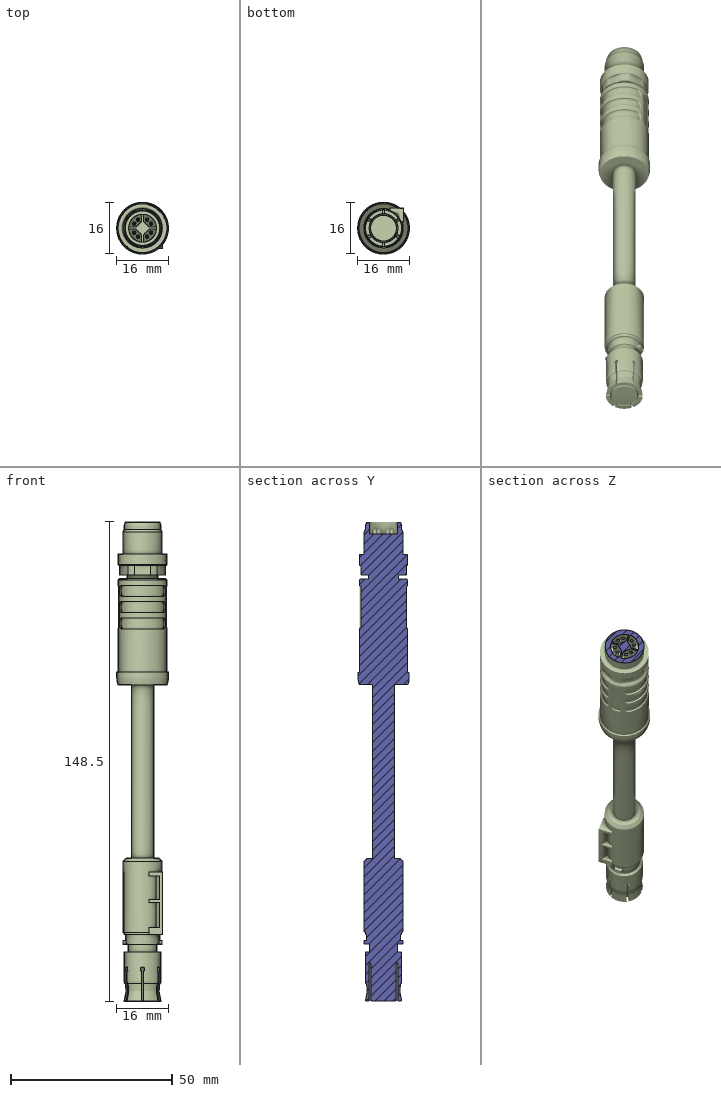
import cadquery as cq
import math

TOTAL_LENGTH = 148.5
CABLE_DIAMETER = 7.0
CABLE_RADIUS = CABLE_DIAMETER / 2

NOSE_TIP_RADIUS = 5.3
NOSE_DIAMETER = 11.5
NOSE_RADIUS = NOSE_DIAMETER / 2
PLUG_RADIUS = 6.1
TIP_CHAMFER_Z = 147.3
NOSE_BOTTOM_Z = 146.1
PLUG_TOP_Z = 145.3
FLANGE_RADIUS = 7.5
FLANGE_TOP_Z = 138.5
FLANGE_BOTTOM_Z = 135.0
FLANGE_CHAMFER = 0.3
NUT_APOTHEM = 6.7
NUT_CORNER_RADIUS = 7.1
NUT_BOTTOM_Z = 132.0
NECK_RADIUS = 4.8

GRIP_RADIUS = FLANGE_RADIUS
GRIP_TOP_Z = 131.0
GRIP_TOP_CHAMFER = 0.5
COLLAR_RADIUS = 8.0
COLLAR_TOP_Z = 102.0
COLLAR_ROUND_Z = 100.2
COLLAR_BOTTOM_Z = 98.0

SLEEVE_RADIUS = PLUG_RADIUS
SLEEVE_TOP_Z = 44.4
SLEEVE_TOP_CHAMFER = 1.0
SLEEVE_BOTTOM_Z = 21.4
SLEEVE_RIM_Z = 20.6
SLEEVE_RIM_RADIUS = NOSE_RADIUS
GUIDE_RADIUS = 5.2
GUIDE_BOTTOM_Z = 17.7
WAIST_DIAMETER = 9.6
WAIST_RADIUS = WAIST_DIAMETER / 2
WAIST_HALF_FLATS = 4.5
SOCKET_DIAMETER = 11.5
SOCKET_RADIUS = SOCKET_DIAMETER / 2
SOCKET_TOP_Z = 15.3
SOCKET_CHAMFER_Z = 6.2
SOCKET_STEP_Z = 5.5
SOCKET_CHAMFER = 0.1
FINGER_TOP_RADIUS = 5.3
FINGER_THROAT_DIAMETER = 10.2
FINGER_THROAT_RADIUS = FINGER_THROAT_DIAMETER / 2
FINGER_THROAT_Z = 3.1

BORE_RADIUS = 4.3
BORE_FLOOR_Z = 139.5
CROSS_TOP_Z = 144.7
CROSS_WALL = 0.6
CORE_DIAGONAL = 4.8
PIN_TOP_Z = 146.1
PIN_DIAMETER = 1.0
PIN_TIP_CHAMFER = 0.3
PIN_CIRCLE_RADIUS = 3.0
PIN_HALF_SPREAD = 17.0

GROOVE_TOP_Z = 128.9
GROOVE_HEIGHT = 3.4
GROOVE_PITCH = 5.0
GROOVE_COUNT = 3
GROOVE_DEPTH = 0.5
GROOVE_END_Y = 2.7
GROOVE_END_RADIUS = 1.3
GROOVE_EDGE_CHAMFER = 0.42
WINDOW_WIDTH = 3.4
WINDOW_TOP_Z = 128.5
WINDOW_BOTTOM_Z = 115.5
WINDOW_CORNER_RADIUS = 1.2
WINDOW_DEPTH = 0.5

HOLDER_TOP_Z = 40.1
HOLDER_REACH = 6.2
HOLDER_INNER = 2.0
HOLDER_RAIL_INNER = 5.2
HOLDER_WEB_X = 4.0
HOLDER_WEB_Y = 4.3
HOLDER_RIBS = ((38.9, 40.1), (30.6, 31.5), (SLEEVE_RIM_Z, 22.9))
SEAM_GROOVE_WIDTH = 0.9
SEAM_GROOVE_DEPTH = 0.22
SEAM_GROOVE_Y = -1.5

KEY_WIDTH = 2.2
KEY_REACH = 5.3
LUG_REACH = PLUG_RADIUS
LUG_HEIGHT = 1.2
SOCKET_BORE_RADIUS = 4.5
SOCKET_BORE_DEPTH = 11.9
SOCKET_CORE_RADIUS = 4.0
SLOT_COUNT = 6
FIRST_SLOT_ANGLE = 30.0
SLOT_WIDTH = 0.6
SLOT_HOLE_DIAMETER = 1.3
SLOT_HOLE_Z = 10.0


def block(x_range, y_range, z_range):
    """Axis-aligned box given by its limits."""
    corner = (x_range[0], y_range[0], z_range[0])
    sizes = [limits[1] - limits[0] for limits in (x_range, y_range, z_range)]
    return cq.Workplane("XY").box(*sizes, centered=False).translate(corner)


def cylinder(radius, bottom_z, top_z):
    """Cylinder on the part axis."""
    return cq.Workplane("XY").workplane(offset=bottom_z).circle(radius).extrude(top_z - bottom_z)


def collar_round_middle():
    """Middle of the arc that rounds the collar's lower edge and runs smoothly into its side."""
    width = COLLAR_RADIUS - GRIP_RADIUS
    height = COLLAR_ROUND_Z - COLLAR_BOTTOM_Z
    radius = (width**2 + height**2) / (2 * width)
    half_angle = math.asin(height / radius) / 2
    middle_radius = COLLAR_RADIUS - radius * (1 - math.cos(half_angle))
    return (middle_radius, COLLAR_ROUND_Z - radius * math.sin(half_angle))


def turned_body():
    """All coaxial stretches, as one revolved outline from bottom to top."""
    below_round = [
        (0, 0),
        (SOCKET_RADIUS, 0),
        (FINGER_THROAT_RADIUS, FINGER_THROAT_Z),
        (FINGER_TOP_RADIUS, SOCKET_STEP_Z),
        (SOCKET_RADIUS - SOCKET_CHAMFER, SOCKET_STEP_Z),
        (SOCKET_RADIUS, SOCKET_CHAMFER_Z),
        (SOCKET_RADIUS, SOCKET_TOP_Z),
        (WAIST_RADIUS, SOCKET_TOP_Z),
        (WAIST_RADIUS, GUIDE_BOTTOM_Z),
        (GUIDE_RADIUS, GUIDE_BOTTOM_Z),
        (GUIDE_RADIUS, SLEEVE_RIM_Z),
        (SLEEVE_RIM_RADIUS, SLEEVE_RIM_Z),
        (SLEEVE_RIM_RADIUS, SLEEVE_BOTTOM_Z),
        (SLEEVE_RADIUS, SLEEVE_BOTTOM_Z),
        (SLEEVE_RADIUS, SLEEVE_TOP_Z - SLEEVE_TOP_CHAMFER),
        (SLEEVE_RADIUS - SLEEVE_TOP_CHAMFER, SLEEVE_TOP_Z),
        (CABLE_RADIUS, SLEEVE_TOP_Z),
        (CABLE_RADIUS, COLLAR_BOTTOM_Z),
        (GRIP_RADIUS, COLLAR_BOTTOM_Z),
    ]
    above_round = [
        (COLLAR_RADIUS, COLLAR_ROUND_Z),
        (COLLAR_RADIUS, COLLAR_TOP_Z),
        (GRIP_RADIUS, COLLAR_TOP_Z),
        (GRIP_RADIUS, GRIP_TOP_Z - GRIP_TOP_CHAMFER),
        (GRIP_RADIUS - GRIP_TOP_CHAMFER, GRIP_TOP_Z),
        (NECK_RADIUS, GRIP_TOP_Z),
        (NECK_RADIUS, FLANGE_BOTTOM_Z),
        (FLANGE_RADIUS - FLANGE_CHAMFER, FLANGE_BOTTOM_Z),
        (FLANGE_RADIUS, FLANGE_BOTTOM_Z + FLANGE_CHAMFER),
        (FLANGE_RADIUS, FLANGE_TOP_Z),
        (PLUG_RADIUS, FLANGE_TOP_Z),
        (PLUG_RADIUS, PLUG_TOP_Z),
        (NOSE_RADIUS, NOSE_BOTTOM_Z),
        (NOSE_RADIUS, TIP_CHAMFER_Z),
        (NOSE_TIP_RADIUS, TOTAL_LENGTH),
        (0, TOTAL_LENGTH),
    ]
    outline = (
        cq.Workplane("XZ")
        .polyline(below_round)
        .threePointArc(collar_round_middle(), above_round[0])
        .polyline(above_round[1:], includeCurrent=True)
        .close()
    )
    return outline.revolve(360, (0, 0, 0), (0, 1, 0))


def nut():
    """Hexagonal nut below the flange, its corners turned round."""
    across_corners = 2 * NUT_APOTHEM / math.cos(math.radians(30))
    height = FLANGE_BOTTOM_Z - NUT_BOTTOM_Z
    hexagon = cq.Workplane("XY").workplane(offset=NUT_BOTTOM_Z).polygon(6, across_corners).extrude(height)
    return hexagon.intersect(cylinder(NUT_CORNER_RADIUS, NUT_BOTTOM_Z, FLANGE_BOTTOM_Z))


def plug_insert():
    """Shield cross with a diamond core, and a pair of pins in each quadrant."""
    base = cq.Workplane("XY").workplane(offset=BORE_FLOOR_Z)
    cross_height = CROSS_TOP_Z - BORE_FLOOR_Z
    pin_angles = [
        quadrant + side * PIN_HALF_SPREAD
        for quadrant in (45, 135, 225, 315)
        for side in (-1, 1)
    ]
    pin_centers = [
        (PIN_CIRCLE_RADIUS * math.cos(math.radians(a)), PIN_CIRCLE_RADIUS * math.sin(math.radians(a)))
        for a in pin_angles
    ]
    walls = base.rect(2 * BORE_RADIUS, CROSS_WALL).extrude(cross_height)
    walls = walls.union(base.rect(CROSS_WALL, 2 * BORE_RADIUS).extrude(cross_height))
    core = base.polygon(4, CORE_DIAGONAL).extrude(cross_height)
    pins = base.pushPoints(pin_centers).circle(PIN_DIAMETER / 2).extrude(PIN_TOP_Z - BORE_FLOOR_Z)
    pins = pins.faces(">Z").chamfer(PIN_TIP_CHAMFER)
    return walls.union(core).union(pins)


def grip_grooves():
    """Round-ended grooves with sloping walls, wrapped around the -Y and +Y sides of the grip."""
    x_range = (-COLLAR_RADIUS, COLLAR_RADIUS)
    first_z = (GROOVE_TOP_Z - GROOVE_HEIGHT, GROOVE_TOP_Z)
    bar = block(x_range, (GROOVE_END_Y, COLLAR_RADIUS), first_z)
    bar = bar.faces("<Y").edges("|X").fillet(GROOVE_END_RADIUS)
    core = cylinder(GRIP_RADIUS - GROOVE_DEPTH, *first_z)
    groove = bar.intersect(cylinder(COLLAR_RADIUS, *first_z)).cut(core)
    floor_point = (0, GRIP_RADIUS - GROOVE_DEPTH, GROOVE_TOP_Z - GROOVE_HEIGHT / 2)
    groove = groove.faces(cq.NearestToPointSelector(floor_point)).chamfer(GROOVE_EDGE_CHAMFER)
    pair = groove.union(groove.mirror("XZ"))
    grooves = cq.Workplane("XY")
    for i in range(GROOVE_COUNT):
        grooves = grooves.union(pair.translate((0, 0, -i * GROOVE_PITCH)))
    return grooves


def grip_windows():
    """Flat recesses on the -X and +X sides, rounded at their lower corners."""
    floor_x = GRIP_RADIUS - WINDOW_DEPTH
    half_width = WINDOW_WIDTH / 2
    window = block((floor_x, COLLAR_RADIUS), (-half_width, half_width), (WINDOW_BOTTOM_Z, WINDOW_TOP_Z))
    window = window.faces("<Z").edges("|X").fillet(WINDOW_CORNER_RADIUS)
    return window.union(window.mirror("YZ"))


def label_holder():
    """Corner holder on the +X -Y side: three ribs joined by a rail on a web."""
    web_outline = [
        (0, 0),
        (HOLDER_WEB_X, -HOLDER_WEB_Y),
        (HOLDER_RAIL_INNER, -HOLDER_REACH),
        (HOLDER_REACH, -HOLDER_REACH),
        (HOLDER_REACH, -HOLDER_RAIL_INNER),
        (HOLDER_WEB_Y, -HOLDER_WEB_X),
    ]
    holder = (
        cq.Workplane("XY")
        .workplane(offset=SLEEVE_RIM_Z)
        .polyline(web_outline)
        .close()
        .extrude(HOLDER_TOP_Z - SLEEVE_RIM_Z)
    )
    for rib_z in HOLDER_RIBS:
        holder = holder.union(block((HOLDER_INNER, HOLDER_REACH), (-HOLDER_REACH, -HOLDER_INNER), rib_z))
    return holder


def seam_groove():
    """Shallow lengthwise groove on the -X side of the lower sleeve."""
    bottom_x = -math.sqrt(SLEEVE_RADIUS**2 - SEAM_GROOVE_Y**2) + SEAM_GROOVE_DEPTH
    half_width = SEAM_GROOVE_WIDTH / 2
    y_range = (SEAM_GROOVE_Y - half_width, SEAM_GROOVE_Y + half_width)
    return block((-HOLDER_REACH, bottom_x), y_range, (SLEEVE_BOTTOM_Z, HOLDER_TOP_Z))


def guide_keys():
    """Keys along the guide on the -X and +X sides, each ending in a lug."""
    half_width = KEY_WIDTH / 2
    y_range = (-half_width, half_width)
    keys = block((-KEY_REACH, KEY_REACH), y_range, (GUIDE_BOTTOM_Z, SLEEVE_RIM_Z))
    lugs = block((-LUG_REACH, LUG_REACH), y_range, (GUIDE_BOTTOM_Z, GUIDE_BOTTOM_Z + LUG_HEIGHT))
    return keys.union(lugs)


def waist_flats():
    """Material removed to leave flats on the -X and +X sides of the waist."""
    z_range = (SOCKET_TOP_Z, GUIDE_BOTTOM_Z)
    flat = block((WAIST_HALF_FLATS, SOCKET_RADIUS), (-SOCKET_RADIUS, SOCKET_RADIUS), z_range)
    return flat.union(flat.mirror("YZ"))


def socket_slots():
    """Radial slots that split the socket wall into fingers, each ending in a round hole."""
    half_width = SLOT_WIDTH / 2
    slot = block((0, COLLAR_RADIUS), (-half_width, half_width), (0, SLOT_HOLE_Z))
    hole = (
        cq.Workplane("YZ")
        .center(0, SLOT_HOLE_Z)
        .circle(SLOT_HOLE_DIAMETER / 2)
        .extrude(COLLAR_RADIUS)
    )
    cutter = slot.union(hole)
    slots = cq.Workplane("XY")
    for i in range(SLOT_COUNT):
        slots = slots.union(cutter.rotate((0, 0, 0), (0, 0, 1), FIRST_SLOT_ANGLE + i * 360 / SLOT_COUNT))
    return slots


result = turned_body().union(nut()).union(label_holder())

result = result.cut(cylinder(BORE_RADIUS, BORE_FLOOR_Z, TOTAL_LENGTH)).union(plug_insert())

result = result.cut(grip_grooves()).cut(grip_windows())

result = result.cut(seam_groove()).cut(waist_flats()).union(guide_keys())

result = result.cut(cylinder(SOCKET_BORE_RADIUS, 0, SOCKET_BORE_DEPTH)).cut(socket_slots())
result = result.union(cylinder(SOCKET_CORE_RADIUS, 0, SOCKET_BORE_DEPTH))